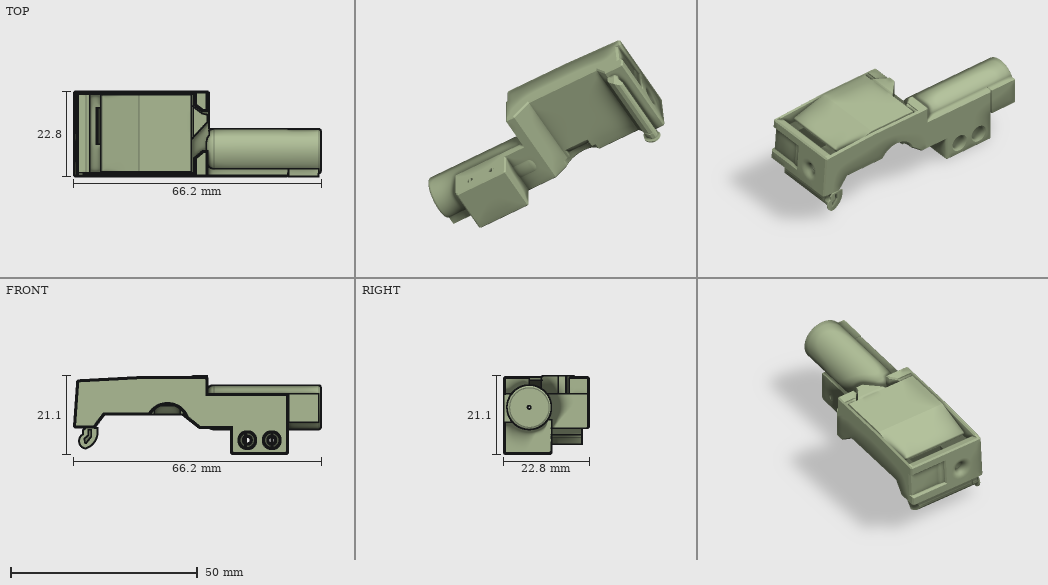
import cadquery as cq
import math

WIDTH = 22.8
EDGE = 0.4
SPARE = 0.65
TOP_Z = 20.7
KINK_X = 17.4
BODY_END_X = 36.2
UPPER_END_X = 35.8
STEP_Z = 16.2
BASE_Z = 7.1
WAIST_Z = 10.6
FOOT_END_X = 5.55
WAIST_X = (8.2, 29.1)
REAR_BASE_X = 33.7
REAR_BASE_Z = 6.95
BLOCK_X = (42.0, 57.4)
BLOCK_WIDTH = 12.85
SHELF_Z = 9.25

WALL_FOOT = (0, BASE_Z + EDGE)
WALL_TOP = (0.85, 19.45)

CAVITY_Y = (1.05, 22.05)
FLOOR_Z = 16.15
RIM_X = 1.25
RIM_Z = 19.85
RIM_INNER_X = 3.25
RIM_INNER_Z = 19.05
RIM_ROUND_Z = 17.85
FLOOR_X = 4.25
CAVITY_END_X = 32.15
CAVITY_END_BEVEL = 0.65

SLOT_Y = (8.7, 18.45)
SLOT_X = 6.0
SLOT_BOTTOM_X = 6.4
SLOT_END_X = 7.9
SLOT_DEPTH = 4.6

NOTCH_Y = (4.9, 19.2)
NECK_Y = (6.9, 17.5)
NECK_X = 34.5

WINDOW_Y = 11.65
WINDOW_Z = (9.65, 17.5)
WINDOW_STEP_Y = (13.3, 14.0)
WINDOW_X = 0.65
WINDOW_DEEP_X = 0.9
WINDOW_END_X = 1.6

PLUG_Y = 6.8
PLUG_Z = 12.6
PLUG_RADIUS = 5.95
PLUG_X = (35.5, 66.2)
NOSE_ROUND = 2.0
TAIL_ROUND = 0.65
KEY_X = (57.5, 65.5)
KEY_Z = (8.55, 16.15)
WIRE_RADIUS = 0.4

FUNNEL_RADIUS = 3.2
FUNNEL_HOLE_RADIUS = 1.2

TERMINAL_Z = 3.8
TERMINALS = [(46.45, 46.0), (53.0, 53.0)]
TERMINAL_RADIUS = 2.05
TERMINAL_DEPTH = 5.3
SCREW_RADIUS = 0.85
RIB_THICK = 0.4
RIB_DEPTH = 4.6

ARCH_X = 25.1
ARCH_Z = 7.95
ARCH_RADIUS = 5.4
ARCH_DEPTH = 2.0
BEVEL_X = (21.5, 28.45)
BEVEL_TOP_Z = 13.05

LID_Y = (1.25, 21.9)
LID_X = (7.2, 31.5)
LID_FRONT_Z = 17.7
LID_THICK = 0.85
LID_NOSE = 0.3

POINTER_TOP_Z = 21.05
POINTER_X = (LID_X[1], 35.7)
POINTER_BEVEL = (0.3, 0.5)
POINTER_Y = (10.0, 19.05)
POINTER_TIP_Y = (14.55, 16.55)
POINTER_SHOULDER_X = 34.4
POINTER_SHOULDER_Y = 16.9

LATCH_END_Y = 21.0
LATCH_DISC = 0.4
LATCH_GROOVE_Y = (2.0, 2.4)
LATCH_GROOVE = 0.25
LATCH_SLOT_DEPTH = 1.3
LATCH_NECK = [
    (6.4, BASE_Z), (3.1, BASE_Z), (2.45, 6.4), (2.45, 5.35),
]
LATCH_TOE_ARC = ((1.4, 3.7), (3.2, 1.5))
LATCH_REAR_ARC = ((5.6, 3.4), (6.4, 6.15))
LATCH_BAR = [
    (5.6, BASE_Z), (3.0, BASE_Z), (3.0, 5.7), (2.0, 4.3), (1.9, 3.7), (2.2, 3.05), (2.65, 2.65),
    (3.65, 2.65), (5.3, 4.55), (5.6, 5.3),
]
LATCH_SLOT = [
    (3.85, 6.55), (3.85, 5.0), (2.8, 4.2), (3.05, 3.0), (3.3, 3.0), (4.7, 4.75), (4.7, 6.55),
]
LATCH_BEVEL_X = 3.65


def box(x, y, z):
    """Box from three (low, high) pairs."""
    size = (x[1] - x[0], y[1] - y[0], z[1] - z[0])
    return cq.Workplane("XY").box(*size, centered=False).translate((x[0], y[0], z[0]))


def side_prism(outline, y):
    """Closed XZ outline of points extruded over a Y range."""
    sketch = cq.Workplane("XZ", origin=(0, y[0], 0)).polyline(outline).close()
    return sketch.extrude(y[0] - y[1])


def side_turned(profile, x, z):
    """Solid of revolution about a Y-parallel axis from (radius, Y) points."""
    turned = cq.Workplane("XY").polyline(profile).close()
    return turned.revolve(360, (0, 0, 0), (0, 1, 0)).translate((x, 0, z))


def housing_shell():
    """Wide body joined to the narrow rear block, all outer edges beveled, without openings."""
    front = [
        (UPPER_END_X - EDGE, TOP_Z), (KINK_X, TOP_Z), (RIM_X, RIM_Z), WALL_TOP, WALL_FOOT,
        (EDGE, BASE_Z), (FOOT_END_X, BASE_Z), (WAIST_X[0], WAIST_Z), (WAIST_X[1], WAIST_Z),
        (REAR_BASE_X, REAR_BASE_Z),
    ]
    step = [(UPPER_END_X, STEP_Z), (UPPER_END_X, TOP_Z - EDGE)]
    body_rear = [(BODY_END_X, REAR_BASE_Z), (BODY_END_X, STEP_Z)]
    block_rear = [
        (BLOCK_X[0], REAR_BASE_Z), (BLOCK_X[0], EDGE), (BLOCK_X[0] + EDGE, 0),
        (BLOCK_X[1] - EDGE, 0), (BLOCK_X[1], EDGE), (BLOCK_X[1], STEP_Z),
    ]
    body = side_prism(front + body_rear + step, (0, WIDTH)).faces(">Y").edges().chamfer(EDGE)
    block = side_prism(front + block_rear + step, (0, BLOCK_WIDTH))
    low_edges = cq.selectors.BoxSelector(
        (BLOCK_X[0] - SPARE, BLOCK_WIDTH - SPARE, -SPARE),
        (BLOCK_X[1] + SPARE, BLOCK_WIDTH + SPARE, REAR_BASE_Z - SPARE),
    )
    block = block.edges(low_edges).chamfer(EDGE)
    relief = box((BODY_END_X, BLOCK_X[1] + SPARE), (PLUG_Y, BLOCK_WIDTH + SPARE), (SHELF_Z, TOP_Z))
    return body.union(block.cut(relief)).faces("<Y").edges().chamfer(EDGE)


def lid_cavity():
    above = TOP_Z + SPARE
    profile = (
        cq.Workplane("XZ", origin=(0, CAVITY_Y[0], 0))
        .moveTo(RIM_X, above)
        .lineTo(RIM_X, RIM_Z)
        .lineTo(RIM_INNER_X, RIM_INNER_Z)
        .tangentArcPoint((FLOOR_X, RIM_ROUND_Z), relative=False)
        .lineTo(FLOOR_X, FLOOR_Z)
        .lineTo(CAVITY_END_X, FLOOR_Z)
        .lineTo(CAVITY_END_X, TOP_Z - CAVITY_END_BEVEL)
        .lineTo(CAVITY_END_X + CAVITY_END_BEVEL, TOP_Z)
        .lineTo(CAVITY_END_X + CAVITY_END_BEVEL, above)
        .close()
    )
    return profile.extrude(CAVITY_Y[0] - CAVITY_Y[1])


def rim_bevels():
    """Bevels along the top inner edges of both side walls."""
    y_low, y_high = CAVITY_Y
    section = [
        (y_low - EDGE, 0), (y_low, -EDGE), (y_high, -EDGE), (y_high + EDGE, 0),
        (y_high + EDGE, SPARE), (y_low - EDGE, SPARE),
    ]
    end_x = CAVITY_END_X + CAVITY_END_BEVEL
    flat = cq.Workplane("YZ", origin=(KINK_X, 0, TOP_Z)).polyline(section).close()
    flat = flat.extrude(end_x - KINK_X)
    fall = math.atan2(TOP_Z - RIM_Z, KINK_X - RIM_X)
    start_x = RIM_INNER_X - SPARE
    length = (KINK_X - start_x) / math.cos(fall)
    slope = cq.Workplane("YZ").polyline(section).close().extrude(-length)
    slope = slope.rotate((0, 0, 0), (0, 1, 0), -math.degrees(fall)).translate((KINK_X, 0, TOP_Z))
    return flat.union(slope)


def floor_slot():
    bottom = FLOOR_Z - SLOT_DEPTH
    outline = [
        (SLOT_X, FLOOR_Z), (SLOT_X, bottom), (SLOT_BOTTOM_X, bottom), (SLOT_END_X, FLOOR_Z),
    ]
    return side_prism(outline, SLOT_Y)


def rear_notch():
    """Notch that narrows to a neck, with beveled top edges."""
    start = CAVITY_END_X
    outline = [
        (start, NOTCH_Y[0]), (NECK_X, NECK_Y[0]), (BODY_END_X, NECK_Y[0]),
        (BODY_END_X, NECK_Y[1]), (NECK_X, NECK_Y[1]), (start, NOTCH_Y[1]),
    ]
    notch = cq.Workplane("XY", origin=(0, 0, FLOOR_Z)).polyline(outline).close()
    rim = cq.Workplane("XY", origin=(0, 0, TOP_Z - EDGE)).polyline(outline).close()
    return notch.extrude(TOP_Z - FLOOR_Z).union(rim.extrude(EDGE, taper=-45))


def lean(tool):
    """Tilt a tool made for a vertical wall at X = 0 so that it fits the leaning front wall."""
    angle = math.degrees(math.atan2(WALL_TOP[0] - WALL_FOOT[0], WALL_TOP[1] - WALL_FOOT[1]))
    pivot = (WALL_FOOT[0], 0, WALL_FOOT[1])
    return tool.rotate(pivot, (pivot[0], 1, pivot[2]), angle)


def front_window():
    """Two-level recess with a beveled frame, open at the +Y side."""
    open_y = WIDTH + SPARE
    frame_size = (open_y - WINDOW_Y, WINDOW_Z[1] - WINDOW_Z[0])
    frame_center = ((open_y + WINDOW_Y) / 2, (WINDOW_Z[0] + WINDOW_Z[1]) / 2)
    frame = cq.Workplane("YZ").center(*frame_center).rect(*frame_size).extrude(EDGE, taper=45)
    inner_z = (WINDOW_Z[0] + EDGE, WINDOW_Z[1] - EDGE)
    recess_depths = [
        (0, WINDOW_Y + EDGE), (WINDOW_X, WINDOW_Y + EDGE), (WINDOW_X, WINDOW_STEP_Y[0]),
        (WINDOW_DEEP_X, WINDOW_STEP_Y[1]), (WINDOW_DEEP_X, WIDTH - EDGE),
        (WINDOW_END_X, WIDTH), (WINDOW_END_X, open_y), (0, open_y),
    ]
    recess = cq.Workplane("XY", origin=(0, 0, inner_z[0])).polyline(recess_depths).close()
    return lean(frame.union(recess.extrude(inner_z[1] - inner_z[0])))


def front_funnel():
    """Bell mouth square to the front wall and a straight hole from it back to the plug."""
    flare = FUNNEL_RADIUS - FUNNEL_HOLE_RADIUS
    corner = flare * (1 - math.sqrt(0.5))
    bell = (
        cq.Workplane("XY")
        .lineTo(flare, 0)
        .lineTo(flare, FUNNEL_HOLE_RADIUS)
        .threePointArc((corner, FUNNEL_HOLE_RADIUS + corner), (0, FUNNEL_RADIUS))
        .close()
        .revolve(360, (0, 0, 0), (1, 0, 0))
        .translate((0, PLUG_Y, PLUG_Z))
    )
    hole_start = flare / 2
    hole = (
        cq.Workplane("YZ", origin=(hole_start, PLUG_Y, PLUG_Z))
        .circle(FUNNEL_HOLE_RADIUS)
        .extrude(PLUG_X[0] - hole_start)
    )
    return lean(bell).union(hole)


def terminal_hole(hole_x, rib_x):
    profile = [
        (0, 0), (TERMINAL_RADIUS + EDGE, 0), (TERMINAL_RADIUS, EDGE),
        (TERMINAL_RADIUS, TERMINAL_DEPTH), (SCREW_RADIUS + EDGE, TERMINAL_DEPTH),
        (SCREW_RADIUS, TERMINAL_DEPTH + EDGE), (SCREW_RADIUS, BLOCK_WIDTH), (0, BLOCK_WIDTH),
    ]
    hole = side_turned(profile, hole_x, TERMINAL_Z)
    rib = box(
        (rib_x - RIB_THICK / 2, rib_x + RIB_THICK / 2), (RIB_DEPTH, BLOCK_WIDTH),
        (TERMINAL_Z - TERMINAL_RADIUS, TERMINAL_Z + TERMINAL_RADIUS),
    )
    return hole.cut(rib)


def arch_relief():
    profile = [
        (0, 0), (ARCH_RADIUS + EDGE, 0), (ARCH_RADIUS, EDGE), (ARCH_RADIUS, ARCH_DEPTH),
        (0, ARCH_DEPTH),
    ]
    arch = side_turned(profile, ARCH_X, ARCH_Z)
    rise = BEVEL_TOP_Z - WAIST_Z
    bevel = cq.Workplane("YZ", origin=(BEVEL_X[0], 0, 0)).polyline([
        (ARCH_DEPTH, WAIST_Z), (ARCH_DEPTH, BEVEL_TOP_Z), (ARCH_DEPTH + rise, WAIST_Z),
    ]).close().extrude(BEVEL_X[1] - BEVEL_X[0])
    return arch.union(bevel)


def plug_form():
    barrel = (
        cq.Workplane("YZ", origin=(PLUG_X[0], PLUG_Y, PLUG_Z))
        .circle(PLUG_RADIUS)
        .extrude(PLUG_X[1] - PLUG_X[0])
    )
    return barrel.faces("<X").edges().fillet(NOSE_ROUND).faces(">X").edges().fillet(TAIL_ROUND)


def make_housing():
    housing = housing_shell().cut(lid_cavity()).cut(rim_bevels())
    housing = housing.cut(floor_slot()).cut(rear_notch()).cut(front_window())
    housing = housing.cut(front_funnel()).cut(arch_relief())
    for hole_x, rib_x in TERMINALS:
        housing = housing.cut(terminal_hole(hole_x, rib_x))
    return housing.cut(plug_form())


def make_plug():
    key = box(KEY_X, (0, PLUG_Y), KEY_Z)
    wire = (
        cq.Workplane("YZ", origin=(PLUG_X[0], PLUG_Y, PLUG_Z))
        .circle(WIRE_RADIUS)
        .extrude(PLUG_X[1] - PLUG_X[0])
    )
    return plug_form().union(key).cut(wire)


def make_lid():
    outline = [
        (LID_X[0], LID_FRONT_Z), (KINK_X, TOP_Z), (LID_X[1], TOP_Z), (LID_X[1], TOP_Z - LID_THICK),
        (KINK_X, TOP_Z - LID_THICK), (LID_X[0], LID_FRONT_Z - LID_THICK),
    ]
    return side_prism(outline, LID_Y).faces("<X").edges("|Y").fillet(LID_NOSE)


def make_pointer():
    outline = [
        (POINTER_X[0], POINTER_Y[0]), (POINTER_X[1], POINTER_TIP_Y[0]),
        (POINTER_X[1], POINTER_TIP_Y[1]), (POINTER_SHOULDER_X, POINTER_SHOULDER_Y),
        (POINTER_X[0], POINTER_Y[1]),
    ]
    prism = cq.Workplane("XY", origin=(0, 0, FLOOR_Z)).polyline(outline).close()
    pointer = prism.extrude(POINTER_TOP_Z - FLOOR_Z)
    bevel = side_prism(
        [
            (POINTER_X[0], POINTER_TOP_Z - POINTER_BEVEL[0]), (POINTER_X[0], POINTER_TOP_Z),
            (POINTER_X[0] + POINTER_BEVEL[1], POINTER_TOP_Z),
        ],
        POINTER_Y,
    )
    return pointer.cut(bevel)


def latch_disc():
    """Claw-shaped end plate: a straight neck and two bulging arcs."""
    return (
        cq.Workplane("XZ")
        .polyline(LATCH_NECK)
        .threePointArc(*LATCH_TOE_ARC)
        .threePointArc(*LATCH_REAR_ARC)
        .close()
        .extrude(-LATCH_DISC)
    )


def latch_groove():
    """Shallow groove all round the bar."""
    y_low, y_high = LATCH_GROOVE_Y
    core = cq.Workplane("XZ", origin=(0, y_low, 0)).polyline(LATCH_BAR).close()
    core = core.offset2D(-LATCH_GROOVE).extrude(y_low - y_high)
    return side_prism(LATCH_BAR, LATCH_GROOVE_Y).cut(core)


def latch_end_bevel():
    """45-degree wedge that takes the front corner off the far end of the hook bar."""
    reach = LATCH_BEVEL_X
    outline = [(reach, LATCH_END_Y), (0, LATCH_END_Y), (0, LATCH_END_Y - reach)]
    return cq.Workplane("XY").polyline(outline).close().extrude(BASE_Z)


def make_latch():
    bar = side_prism(LATCH_BAR, (LATCH_DISC, LATCH_END_Y)).cut(latch_end_bevel()).cut(latch_groove())
    slot = side_prism(LATCH_SLOT, (0, LATCH_SLOT_DEPTH))
    return latch_disc().union(bar).cut(slot)


housing = make_housing()
lid = make_lid()
plug = make_plug()
pointer = make_pointer()
latch = make_latch()

result = cq.Compound.makeCompound([
    housing.val(), lid.val(), plug.val(), pointer.val(), latch.val(),
])